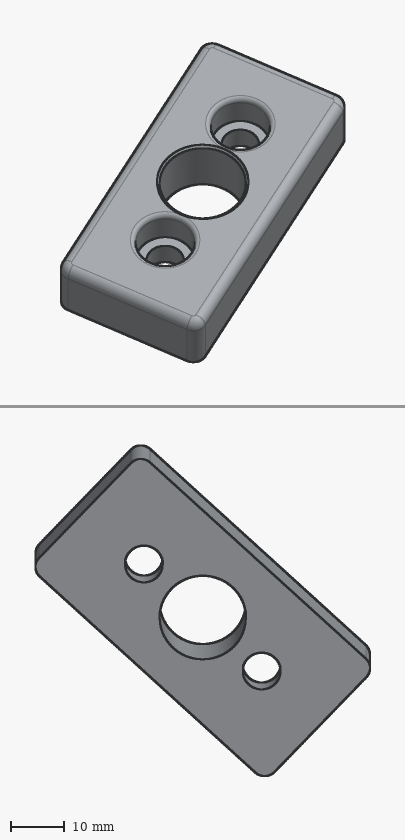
import cadquery as cq

length = 60.0
width = length / 2
height = 12.0
corner_radius = 2.5
top_edge_radius = 2.0

bore_diameter = 16.0
bore_chamfer = 0.5

screw_spacing = length / 2
screw_diameter = 7.0
counterbore_diameter = 11.0
counterbore_depth = 6.8
counterbore_edge_radius = 0.95


def make_plate():
    """Block standing on Z = 0 with rounded upright corners and a rounded top rim."""
    block = cq.Workplane("XY").box(width, length, height, centered=(True, True, False))
    return block.edges("|Z").fillet(corner_radius).faces(">Z").edges().fillet(top_edge_radius)


def cylinder_down_from_top(y, diameter, depth):
    """Cylinder on the long centre line, reaching down from the top face."""
    return cq.Workplane("XY", origin=(0, y, height - depth)).circle(diameter / 2).extrude(depth)


def hole_mouth(body, y, diameter):
    """Select the edge where the hole centred at the given Y meets the top face."""
    margin = 0.05
    reach = diameter / 2 + margin
    around_mouth = cq.selectors.BoxSelector(
        (-reach, y - reach, height - margin),
        (reach, y + reach, height + margin),
        boundingbox=True,
    )
    return body.edges(around_mouth)


result = make_plate()

result = result.cut(cylinder_down_from_top(0, bore_diameter, height))
result = hole_mouth(result, 0, bore_diameter).chamfer(bore_chamfer)

for screw_y in (-screw_spacing / 2, screw_spacing / 2):
    result = result.cut(cylinder_down_from_top(screw_y, screw_diameter, height))
    result = result.cut(cylinder_down_from_top(screw_y, counterbore_diameter, counterbore_depth))
    result = hole_mouth(result, screw_y, counterbore_diameter).fillet(counterbore_edge_radius)